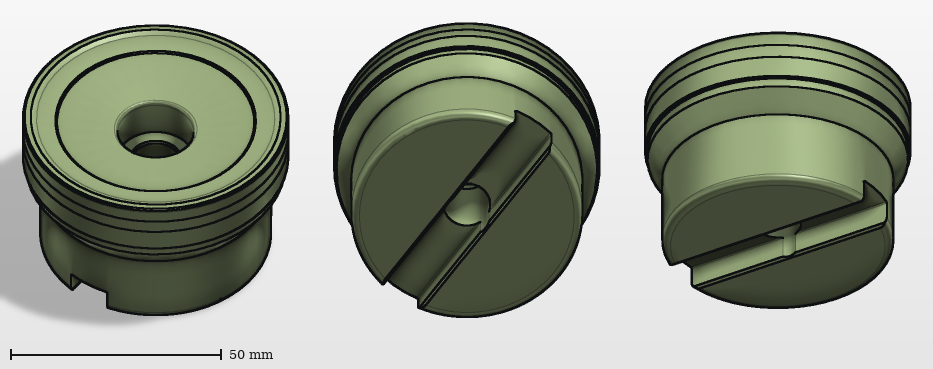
import cadquery as cq

height = 40.0
head_radius = 31.5
head_bottom = 26.95
head_top_bevel = 0.4
head_taper_depth = 0.8
head_taper_inset = 0.05
head_bottom_chamfer = 0.3

neck_radius = 30.9
neck_bottom = 24.7
base_radius = 27.4
base_top = 19.0
base_fillet = 1.95

band_bottom = 32.75
band_top = 36.15
band_thickness = 1.0

rim_radius = 29.6
dish_radius = 28.2
dish_depth = 0.55
step_radius = 23.75
step_size = 0.4
dish_slope = 0.17

counterbore_radius = 9.0
counterbore_lip = 0.95
counterbore_floor = 26.3
bore_radius = 5.55
bore_chamfer = 0.45

slot_width = 10.5
slot_height = 6.25
slot_corner_radius = 0.3
slot_mouth_chamfer = 0.6

dish_level = height - dish_depth
step_level = dish_level - dish_slope * (dish_radius - step_radius)
inner_step_radius = step_radius - step_size
inner_step_level = step_level - step_size
dish_bottom = inner_step_level - dish_slope * (inner_step_radius - counterbore_radius)


def ring(inner_radius, outer_radius, bottom, top):
    """Flat-ended ring about the Z axis."""
    return (
        cq.Workplane("XY")
        .workplane(offset=bottom)
        .circle(outer_radius)
        .circle(inner_radius)
        .extrude(top - bottom)
    )


def make_turned_blank():
    """Turned outside, dished top and stepped centre hole."""
    profile = (
        cq.Workplane("XZ")
        .moveTo(bore_radius, 0)
        .lineTo(base_radius, 0)
        .lineTo(base_radius, base_top)
        .lineTo(neck_radius, neck_bottom)
        .lineTo(neck_radius, head_bottom)
        .lineTo(head_radius - head_bottom_chamfer, head_bottom)
        .lineTo(head_radius, head_bottom + head_bottom_chamfer)
        .lineTo(head_radius, height - head_taper_depth)
        .lineTo(head_radius - head_taper_inset, height - head_top_bevel)
        .lineTo(head_radius - head_taper_inset - head_top_bevel, height)
        .lineTo(rim_radius, height)
        .lineTo(dish_radius, dish_level)
        .lineTo(step_radius, step_level)
        .lineTo(inner_step_radius, inner_step_level)
        .lineTo(counterbore_radius, dish_bottom)
        .lineTo(counterbore_radius, counterbore_floor)
        .lineTo(bore_radius + bore_chamfer, counterbore_floor)
        .lineTo(bore_radius, counterbore_floor - bore_chamfer)
        .close()
    )
    return profile.revolve(360, (0, 0, 0), (0, 1, 0))


def circle_at(radius, level):
    """Selector for the circular edge of a given radius and level."""
    margin = 0.05
    low = level - margin
    high = level + margin
    outer = radius + margin
    inner = radius - margin
    within = cq.selectors.BoxSelector((-outer, -outer, low), (outer, outer, high), boundingbox=True)
    smaller = cq.selectors.BoxSelector((-inner, -inner, low), (inner, inner, high), boundingbox=True)
    return within - smaller


def round_edges(blank):
    """Round the base's bottom edge and the counterbore lip."""
    blank = blank.edges(circle_at(base_radius, 0)).fillet(base_fillet)
    return blank.edges(circle_at(counterbore_radius, dish_bottom)).fillet(counterbore_lip)


def make_slot():
    """Slot cutter with rounded inner corners and a bevelled mouth."""
    half_width = slot_width / 2
    mouth_half_width = half_width + slot_mouth_chamfer
    outline = (
        cq.Workplane("XZ")
        .moveTo(-mouth_half_width, 0)
        .lineTo(-half_width, slot_mouth_chamfer)
        .lineTo(-half_width, slot_height)
        .lineTo(half_width, slot_height)
        .lineTo(half_width, slot_mouth_chamfer)
        .lineTo(mouth_half_width, 0)
        .close()
    )
    cutter = outline.extrude(head_radius, both=True)
    return cutter.edges("|Y and >Z").fillet(slot_corner_radius)


def make_band():
    return ring(head_radius - band_thickness, head_radius, band_bottom, band_top)


def make_housing():
    return round_edges(make_turned_blank()).cut(make_slot()).cut(make_band())


housing = make_housing()
band = make_band()

result = cq.Compound.makeCompound([housing.val(), band.val()])